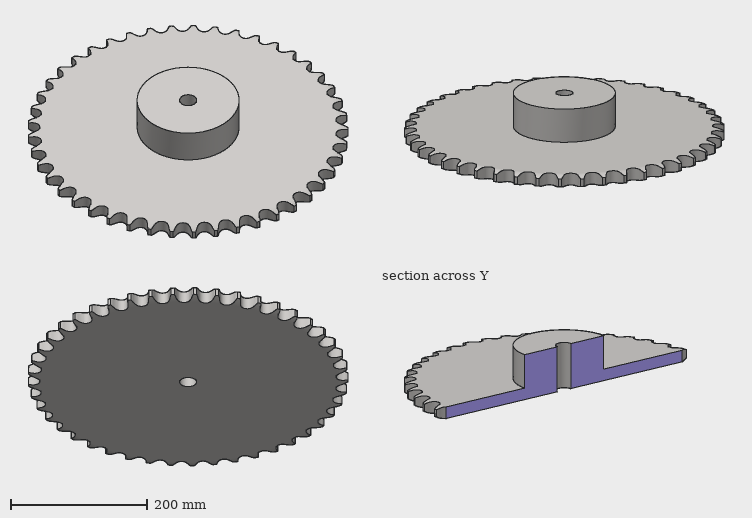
import cadquery as cq
import math

CHAIN_PITCH = 31.75
ROLLER_DIAMETER = 19.05

TOOTH_COUNT = 45
TIP_DIAMETER = 470.3
PLATE_THICKNESS = 18.5
FIRST_GAP_ANGLE = 90.0

SEAT_CLEARANCE = 0.0381
SEAT_RADIUS = 0.5025 * ROLLER_DIAMETER + SEAT_CLEARANCE
WORKING_RADIUS = 1.3025 * ROLLER_DIAMETER + SEAT_CLEARANCE
SEAT_HALF_ANGLE = math.radians(55 - 60 / TOOTH_COUNT)
WORKING_SWEEP = math.radians(18 - 56 / TOOTH_COUNT)
TOPPING_ANGLE = math.radians(17 - 64 / TOOTH_COUNT)
SEAT_OFFSET = 0.8 * ROLLER_DIAMETER
TOPPING_OFFSET = 1.4 * ROLLER_DIAMETER
FLAT_LENGTH = TOPPING_OFFSET * math.sin(TOPPING_ANGLE) - SEAT_OFFSET * math.sin(WORKING_SWEEP)
TOPPING_RADIUS = (
    SEAT_OFFSET * math.cos(WORKING_SWEEP) + TOPPING_OFFSET * math.cos(TOPPING_ANGLE) - WORKING_RADIUS
)

RELIEF_START_RADIUS = 220.6
RELIEF_ARC_RADIUS = CHAIN_PITCH

HUB_DIAMETER = 150.0
BORE_DIAMETER = 25.0
TOTAL_HEIGHT = 70.0

CUT_MARGIN = 5.0

TOOTH_ANGLE = 360.0 / TOOTH_COUNT
TIP_RADIUS = TIP_DIAMETER / 2
PITCH_RADIUS = CHAIN_PITCH / (2 * math.sin(math.pi / TOOTH_COUNT))


def toothed_blank():
    """Disc whose rim is thinned on both sides by arcs tangent to its faces."""
    relief_width = TIP_RADIUS - RELIEF_START_RADIUS

    def relief_drop(width):
        return RELIEF_ARC_RADIUS - math.sqrt(RELIEF_ARC_RADIUS**2 - width**2)

    rim_drop = relief_drop(relief_width)
    middle_drop = relief_drop(relief_width / 2)
    middle_radius = RELIEF_START_RADIUS + relief_width / 2
    return (
        cq.Workplane("XZ")
        .moveTo(0, 0)
        .lineTo(RELIEF_START_RADIUS, 0)
        .threePointArc((middle_radius, middle_drop), (TIP_RADIUS, rim_drop))
        .lineTo(TIP_RADIUS, PLATE_THICKNESS - rim_drop)
        .threePointArc(
            (middle_radius, PLATE_THICKNESS - middle_drop),
            (RELIEF_START_RADIUS, PLATE_THICKNESS),
        )
        .lineTo(0, PLATE_THICKNESS)
        .close()
        .revolve(360, (0, 0, 0), (0, 1, 0))
    )


def point_on_arc(centre, radius, angle):
    """Point at an angle measured from -X towards +Y; a negative radius gives the opposite side."""
    return (
        centre[0] - radius * math.cos(angle),
        centre[1] + radius * math.sin(angle),
    )


def mirrored(point):
    return (point[0], -point[1])


def gap_cutter():
    """Tooth gap centred on +X and mirrored about X; seat, working arc, flat and topping arc are tangent."""
    flat_angle = SEAT_HALF_ANGLE + WORKING_SWEEP
    seat_centre = (PITCH_RADIUS, 0)
    working_centre = point_on_arc(seat_centre, SEAT_RADIUS - WORKING_RADIUS, SEAT_HALF_ANGLE)
    working_end = point_on_arc(working_centre, WORKING_RADIUS, flat_angle)
    flat_end = (
        working_end[0] + FLAT_LENGTH * math.sin(flat_angle),
        working_end[1] + FLAT_LENGTH * math.cos(flat_angle),
    )
    topping_centre = point_on_arc(flat_end, TOPPING_RADIUS, flat_angle)
    topping_end_angle = math.acos((TIP_RADIUS - topping_centre[0]) / TOPPING_RADIUS)
    topping_middle_angle = (flat_angle + topping_end_angle) / 2

    root = point_on_arc(seat_centre, SEAT_RADIUS, 0)
    seat_middle = point_on_arc(seat_centre, SEAT_RADIUS, SEAT_HALF_ANGLE / 2)
    seat_end = point_on_arc(seat_centre, SEAT_RADIUS, SEAT_HALF_ANGLE)
    working_middle = point_on_arc(working_centre, WORKING_RADIUS, SEAT_HALF_ANGLE + WORKING_SWEEP / 2)
    topping_middle = point_on_arc(topping_centre, -TOPPING_RADIUS, topping_middle_angle)
    topping_end = point_on_arc(topping_centre, -TOPPING_RADIUS, topping_end_angle)
    outer_corner = (TIP_RADIUS + CUT_MARGIN, topping_end[1])
    return (
        cq.Workplane("XY")
        .workplane(offset=-CUT_MARGIN)
        .moveTo(*root)
        .threePointArc(seat_middle, seat_end)
        .threePointArc(working_middle, working_end)
        .lineTo(*flat_end)
        .threePointArc(topping_middle, topping_end)
        .lineTo(*outer_corner)
        .lineTo(*mirrored(outer_corner))
        .lineTo(*mirrored(topping_end))
        .threePointArc(mirrored(topping_middle), mirrored(flat_end))
        .lineTo(*mirrored(working_end))
        .threePointArc(mirrored(working_middle), mirrored(seat_end))
        .threePointArc(mirrored(seat_middle), root)
        .close()
        .extrude(PLATE_THICKNESS + 2 * CUT_MARGIN, clean=False)
    )


def toothed_plate():
    cutter = gap_cutter().val()
    cutters = []
    for index in range(TOOTH_COUNT):
        angle = FIRST_GAP_ANGLE + index * TOOTH_ANGLE
        cutters.append(cutter.rotate((0, 0, 0), (0, 0, 1), angle))
    return toothed_blank().cut(cq.Workplane(cq.Compound.makeCompound(cutters)), clean=False)


def hub():
    return cq.Workplane("XY").circle(HUB_DIAMETER / 2).extrude(TOTAL_HEIGHT)


def bore():
    return cq.Workplane("XY").circle(BORE_DIAMETER / 2).extrude(TOTAL_HEIGHT)


result = toothed_plate().union(hub(), clean=False).cut(bore(), clean=False)